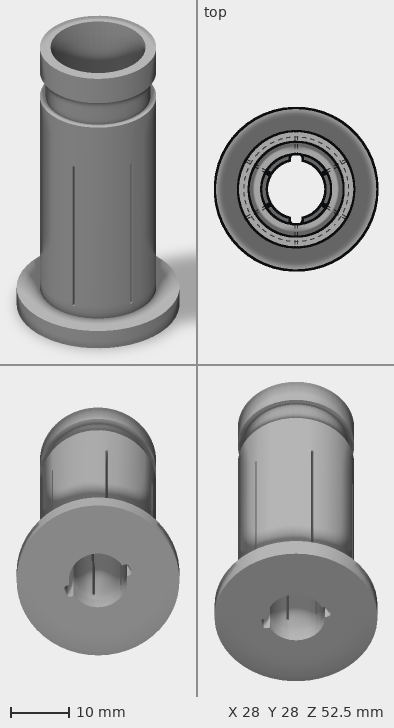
import cadquery as cq

total_height = 52.5
flange_diameter = 28.0
flange_height = 3.5
body_diameter = 20.0
neck_diameter = 18.0
band_height = 5.0

socket_diameter = 16.35
socket_floor_z = 36.75
middle_bore_diameter = 12.0
ledge_z = 20.0
lower_bore_diameter = 10.05
relief_diameter = 2.2
relief_center_radius = 5.2

slot_count = 6
slot_width = 0.4
slot_bottom_z = 5.45
slot_length = 28.55

collar_bottom_z = total_height - band_height
neck_bottom_z = collar_bottom_z - band_height


def cylinder(diameter, bottom_z, top_z):
    return cq.Workplane("XY").workplane(offset=bottom_z).circle(diameter / 2).extrude(top_z - bottom_z)


def make_outer_body():
    flange = cylinder(flange_diameter, 0, flange_height)
    body = cylinder(body_diameter, 0, neck_bottom_z)
    neck = cylinder(neck_diameter, 0, collar_bottom_z)
    collar = cylinder(body_diameter, collar_bottom_z, total_height)
    return flange.union(body).union(neck).union(collar)


def make_bore():
    lower_bore = cylinder(lower_bore_diameter, 0, total_height)
    middle_bore = cylinder(middle_bore_diameter, ledge_z, total_height)
    socket = cylinder(socket_diameter, socket_floor_z, total_height)
    return lower_bore.union(middle_bore).union(socket)


def make_reliefs():
    """Two opposite round reliefs along Y, bounded by the middle bore wall."""
    centers = [(0, -relief_center_radius), (0, relief_center_radius)]
    holes = cq.Workplane("XY").pushPoints(centers).circle(relief_diameter / 2).extrude(ledge_z)
    return holes.intersect(cylinder(middle_bore_diameter, 0, ledge_z))


def make_wall_slot(angle):
    """One radial slot, from the axis outward through the wall."""
    slot = (
        cq.Workplane("XY")
        .workplane(offset=slot_bottom_z)
        .center(0, body_diameter / 2)
        .rect(slot_width, body_diameter)
        .extrude(slot_length)
    )
    return slot.rotate((0, 0, 0), (0, 0, 1), angle)


result = make_outer_body().cut(make_bore()).cut(make_reliefs())
for index in range(slot_count):
    result = result.cut(make_wall_slot(index * 360 / slot_count))